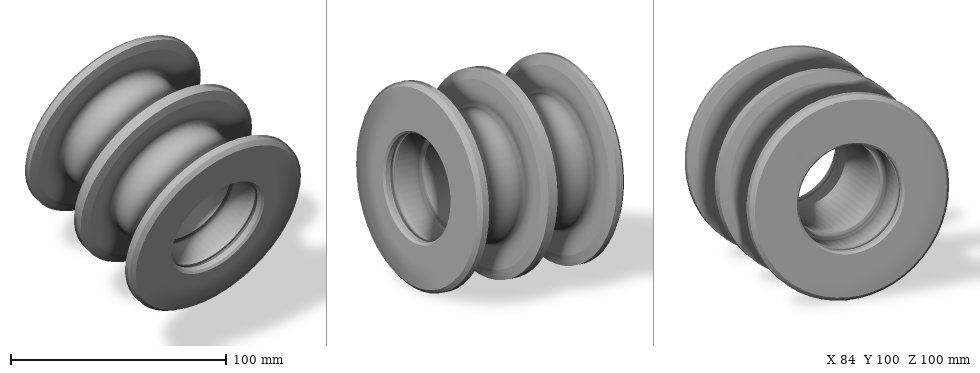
import cadquery as cq

length = 84.0
flange_radius = 100.0 / 2
hub_radius = 64.0 / 2
half_length = length / 2

end_flange_thickness = 6.5
middle_flange_thickness = 7.2
outer_chamfer = 2.0
taper_width = 1.0
taper_height = 5.0
root_fillet = 2.0

bore_radius = 46.0 / 2
seat_radius = 52.0 / 2
groove_radius = 55.0 / 2
mouth_chamfer = 1.0
groove_start = 3.7
groove_width = 2.1
bearing_width = 15.0
seat_depth = groove_start + groove_width + bearing_width
seat_fillet = 1.0


def revolve_about_x(profile):
    return profile.close().revolve(360, (0, 0, 0), (1, 0, 0))


def make_blank():
    """Full-diameter cylinder with chamfered end rims."""
    return (
        cq.Workplane("YZ")
        .circle(flange_radius)
        .extrude(half_length, both=True)
        .clean()
        .edges("%CIRCLE")
        .chamfer(outer_chamfer)
    )


def make_track():
    """Ring removed between the middle flange and the +X flange."""
    inner_face = middle_flange_thickness / 2
    outer_face = half_length - end_flange_thickness
    taper_base = flange_radius - taper_height
    fillet_top = hub_radius + root_fillet
    return revolve_about_x(
        cq.Workplane("XY")
        .moveTo(inner_face - taper_width, flange_radius)
        .lineTo(inner_face, taper_base)
        .lineTo(inner_face, fillet_top)
        .radiusArc((inner_face + root_fillet, hub_radius), -root_fillet)
        .lineTo(outer_face - root_fillet, hub_radius)
        .radiusArc((outer_face, fillet_top), -root_fillet)
        .lineTo(outer_face, taper_base)
        .lineTo(outer_face + taper_width, flange_radius)
    )


def make_bore():
    """Straight through bore."""
    return cq.Workplane("YZ").circle(bore_radius).extrude(half_length, both=True)


def make_bearing_seat():
    """Bearing seat with its ring groove, opening at the +X end."""
    shoulder = half_length - seat_depth
    groove_outer = half_length - groove_start
    groove_inner = groove_outer - groove_width
    return revolve_about_x(
        cq.Workplane("XY")
        .moveTo(shoulder, 0)
        .lineTo(shoulder, seat_radius - seat_fillet)
        .radiusArc((shoulder + seat_fillet, seat_radius), seat_fillet)
        .lineTo(groove_inner, seat_radius)
        .lineTo(groove_inner, groove_radius)
        .lineTo(groove_outer, groove_radius)
        .lineTo(groove_outer, seat_radius)
        .lineTo(half_length - mouth_chamfer, seat_radius)
        .lineTo(half_length, seat_radius + mouth_chamfer)
        .lineTo(half_length, 0)
    )


result = make_blank().cut(make_bore())
for cutter in (make_track(), make_bearing_seat()):
    result = result.cut(cutter).cut(cutter.mirror("YZ"))